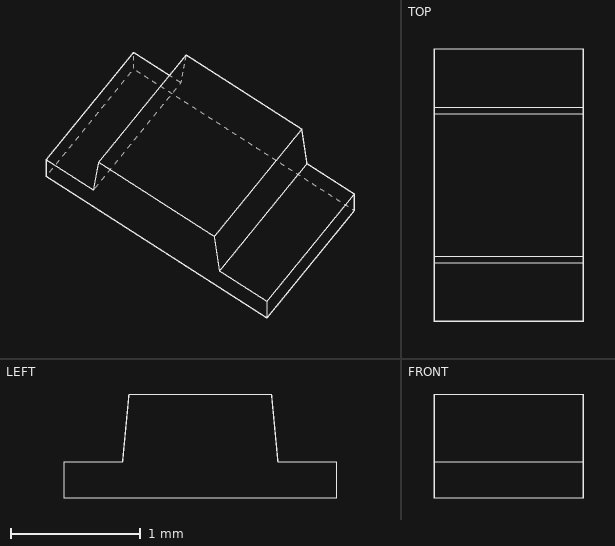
import cadquery as cq

width = 1.15
length = 2.1
height = 0.8

base_height = 0.28
block_bottom_length = 1.2
block_top_length = 1.1

half_profile = [
    (0, 0),
    (length / 2, 0),
    (length / 2, base_height),
    (block_bottom_length / 2, base_height),
    (block_top_length / 2, height),
    (0, height),
]

result = (
    cq.Workplane("YZ")
    .polyline(half_profile)
    .mirrorY()
    .extrude(width / 2, both=True)
)